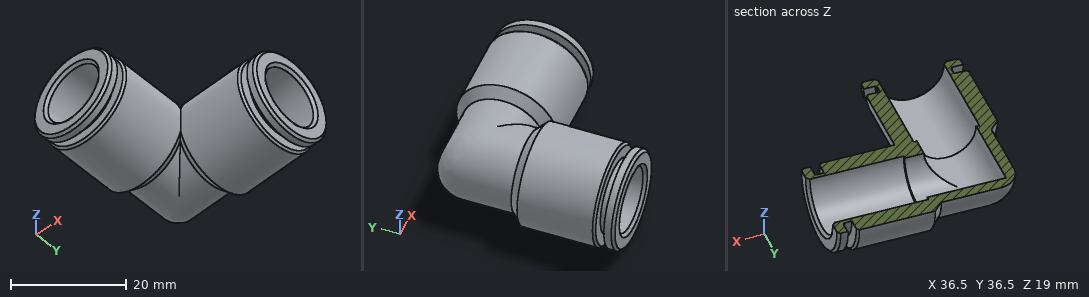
import cadquery as cq
import math

overall = 36.5
body_diameter = 19.0
elbow_radius = 7.75
cone_start = 7.3
body_end = 23.55
body_chamfer = 0.45
neck_radius = 6.9
neck_flare = 0.22
collar_start = 25.1
collar_radius = 9.25
collar_chamfer = 0.5
tube_radius = 6.05
mouth_radius = 6.65
passage_radius = 5.48
corner_radius = 4.12

body_radius = body_diameter / 2
port_end = overall - body_radius
body_start = cone_start + body_radius - elbow_radius
tube_stop = body_start
mouth_depth = mouth_radius - tube_radius
corner_straight = elbow_radius - corner_radius


def revolve_about_x(points):
    return cq.Workplane("XY").polyline(points).close().revolve(360, (0, 0, 0), (1, 0, 0))


def turn_to_second_port(shape):
    """Mirror across the plane y = -x, which carries the +X port onto the -Y port."""
    return shape.mirror("XZ").rotate((0, 0, 0), (0, 0, 1), -90)


def port_outside():
    """One leg with body, neck and collar, cut back at the edge of the rounded corner."""
    leg = revolve_about_x([
        (-elbow_radius, 0),
        (-elbow_radius, elbow_radius),
        (cone_start, elbow_radius),
        (body_start, body_radius),
        (body_end - body_chamfer, body_radius),
        (body_end, body_radius - body_chamfer),
        (body_end, neck_radius),
        (collar_start - neck_flare, neck_radius),
        (collar_start, neck_radius + neck_flare),
        (collar_start, collar_radius),
        (port_end - collar_chamfer, collar_radius),
        (port_end, collar_radius - collar_chamfer),
        (port_end, 0),
    ])
    reach = 2 * body_radius
    slope = corner_straight / elbow_radius
    behind = (
        cq.Workplane("XY", origin=(0, 0, -reach))
        .polyline([(-slope * reach, reach), (slope * reach, -reach), (-reach, -reach), (-reach, reach)])
        .close()
        .extrude(2 * reach)
    )
    return leg.cut(behind)


def port_bore():
    """Tapered mouth, tube socket and passage reaching the crossing of the axes."""
    return revolve_about_x([
        (0, 0),
        (0, passage_radius),
        (tube_stop, passage_radius),
        (tube_stop, tube_radius),
        (port_end - mouth_depth, tube_radius),
        (port_end, mouth_radius),
        (port_end, 0),
    ])


def corner_point(turn, height_angle):
    """Point on the rounded corner: the plan arc shrinks toward the poles as a cosine."""
    shrink = math.cos(height_angle)
    x = -corner_straight - corner_radius * math.sin(turn)
    y = corner_straight + corner_radius * math.cos(turn)
    return cq.Vector(x * shrink, y * shrink, elbow_radius * math.sin(height_angle))


def rounded_corner():
    """Wedge between the two legs, closed by a smooth patch above and below the axes."""
    quarter = math.pi / 2
    patch_steps = 6
    steps = range(patch_steps + 1)
    inner = range(1, patch_steps)
    angles = [quarter * i / patch_steps for i in steps]

    start = corner_point(0, 0)
    finish = corner_point(quarter, 0)
    pole = cq.Vector(0, 0, elbow_radius)
    center = cq.Vector(0, 0, 0)

    plan_arc = cq.Edge.makeThreePointArc(start, corner_point(quarter / 2, 0), finish)
    start_rib = cq.Edge.makeSpline([corner_point(0, a) for a in angles])
    finish_rib = cq.Edge.makeSpline([corner_point(quarter, a) for a in angles])
    start_spoke = cq.Edge.makeLine(center, start)
    finish_spoke = cq.Edge.makeLine(center, finish)
    axis = cq.Edge.makeLine(center, pole)

    inside = [corner_point(angles[i], angles[j]) for i in inner for j in inner]
    patch = cq.Face.makeNSidedSurface([plan_arc, finish_rib, start_rib], inside)
    sides = [
        [start_spoke, start_rib, axis],
        [finish_spoke, finish_rib, axis],
        [start_spoke, plan_arc, finish_spoke],
    ]
    faces = [patch] + [cq.Face.makeFromWires(cq.Wire.assembleEdges(s)) for s in sides]
    upper = cq.Workplane(cq.Solid.makeSolid(cq.Shell.makeShell(faces)))
    return upper.union(upper.mirror("XY"))


leg = port_outside()
bore = port_bore()
outside = leg.union(turn_to_second_port(leg)).union(rounded_corner())

passage = cq.Workplane("YZ").circle(passage_radius).extrude(-passage_radius)
miter = passage.intersect(turn_to_second_port(passage))

result = outside.cut(bore.union(turn_to_second_port(bore)).union(miter))